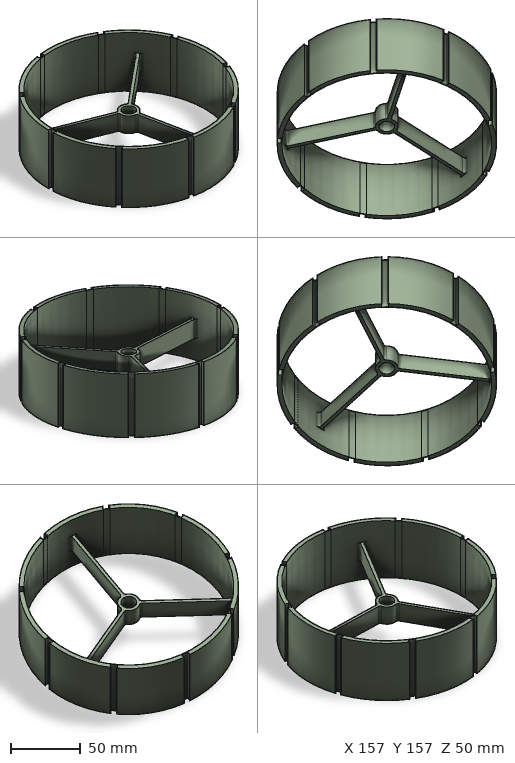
import cadquery as cq
import math

outer_radius = 78.5
height = 50.0
wall = 3.5
inner_radius = outer_radius - wall

groove_count = 9
groove_width = 5.0
lip_overhang = 0.5
lip_thickness = 0.24
mouth_width = groove_width - 2 * lip_overhang
groove_web = 0.5
groove_floor_radius = inner_radius + groove_web
undercut_reach = math.sqrt((outer_radius - lip_thickness) ** 2 - (groove_width / 2) ** 2)

hub_radius = 8.0
bore_radius = 5.5
hub_height = 15.0
hub_base = (height - hub_height) / 2
spoke_count = 3
spoke_width = 2.5
first_spoke_angle = 20.0
spoke_fillet = 2.0

origin = (0, 0, 0)
z_axis = (0, 0, 1)

tolerance = 0.02


def make_rim():
    return cq.Workplane("XY").circle(outer_radius).circle(inner_radius).extrude(height)


def make_hub():
    return cq.Workplane("XY").workplane(offset=hub_base).circle(hub_radius).extrude(hub_height)


def add_spokes(body):
    """Join spokes running from the axis outwards, with their ends sunk into the rim."""
    spoke_end = inner_radius + groove_web
    plane = cq.Workplane("XY").workplane(offset=hub_base)
    spoke = plane.center(spoke_end / 2, 0).rect(spoke_end, spoke_width).extrude(hub_height)
    for index in range(spoke_count):
        angle = first_spoke_angle + index * 360 / spoke_count
        body = body.union(spoke.rotate(origin, z_axis, angle))
    return body


def round_spoke_corners(body, radius):
    """Round the vertical corners where the spokes meet a cylinder of the given radius."""
    corners = []
    for edge in body.edges("|Z").vals():
        middle = edge.Center()
        on_cylinder = abs(math.hypot(middle.x, middle.y) - radius) < tolerance
        spoke_tall = abs(edge.Length() - hub_height) < tolerance
        if on_cylinder and spoke_tall:
            corners.append(edge)
    return body.newObject(corners).fillet(spoke_fillet)


def make_groove():
    """Cutter on +X: a wide undercut behind a narrower mouth."""
    undercut_depth = undercut_reach - groove_floor_radius
    undercut = cq.Workplane("XY").box(undercut_depth, groove_width, height, centered=(False, True, False))
    mouth = cq.Workplane("XY").box(wall, mouth_width, height, centered=(False, True, False))
    return undercut.union(mouth).translate((groove_floor_radius, 0, 0))


def cut_grooves(body):
    groove = make_groove()
    for index in range(groove_count):
        body = body.cut(groove.rotate(origin, z_axis, index * 360 / groove_count))
    return body


body = add_spokes(make_rim().union(make_hub()))
body = round_spoke_corners(body, hub_radius)
body = round_spoke_corners(body, inner_radius)
bore = cq.Workplane("XY").circle(bore_radius).extrude(height)
result = cut_grooves(body.cut(bore))